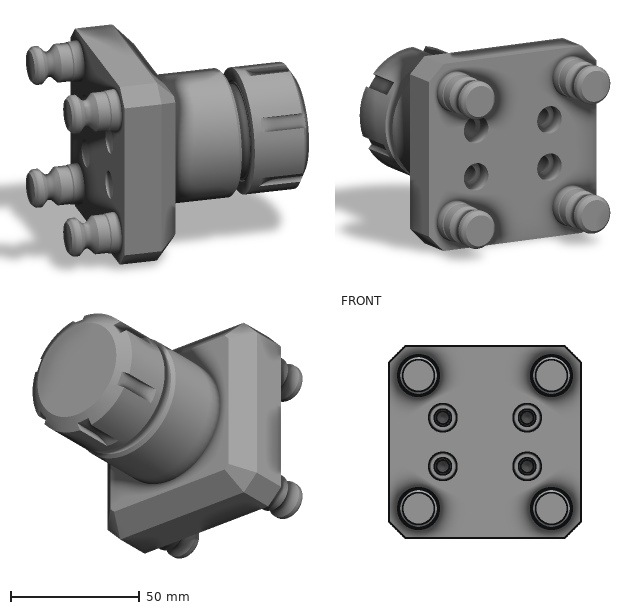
import cadquery as cq
import math


plate_side = 75.0
plate_thickness = 23.0
plate_corner_cut = 6.5
plate_front_chamfer = 7.9

screw_circle_radius = 19.0
screw_angles = [30, 150, 210, 330]
counterbore_diameter = 11.0
counterbore_depth = 6.4
clearance_diameter = 6.7
tapped_diameter = 5.0
tapped_depth = 12.0
drill_point_angle = 118.0

housing_radius = 25.4
housing_length = 28.7
housing_chamfer = 1.3
neck_radius = 18.5
neck_length = 5.0
thread_radius = 19.4
thread_length = 15.0

nut_radius = 25.0
nut_bore_radius = 20.0
nut_length = 23.6
nut_bevel_length = 3.3
nut_front_radius = 19.8

slot_count = 6
slot_start_angle = 26.0
slot_width = 5.7
slot_floor_radius = 22.3
slot_cutter_radius = 13.5
slot_front_setback = 1.7
slot_floor_length = 10.4

pin_spacing = 51.8
pin_length = 19.7
pin_root_radius = 8.1
pin_seat_radius = 8.0
pin_root_length = 0.6
pin_seat_length = 2.0
pin_taper_radius = 7.8
pin_taper_end = 4.0
pin_relief_radius = 7.4
pin_relief_middle = 4.3
pin_radius = 7.6
pin_body_start = 4.6
pin_body_end = 9.2
groove_side_depth = 2.0
groove_bottom_radius = 2.0
pin_head_length = 1.6
pin_end_radius = 6.2
pin_end_round = 1.6
pin_end_slope = 55.0

holder_start = plate_thickness
neck_start = holder_start + housing_length
nut_start = neck_start + neck_length
nut_end = nut_start + nut_length


def rod(radius, start, length, x=0, z=0):
    """Cylinder along +Y from the given start."""
    return cq.Workplane(cq.Solid.makeCylinder(radius, length, cq.Vector(x, start, z), cq.Vector(0, 1, 0)))


def screw_positions():
    for angle in screw_angles:
        turn = math.radians(angle)
        yield screw_circle_radius * math.cos(turn), screw_circle_radius * math.sin(turn)


def make_plate():
    plate = cq.Workplane("XZ").rect(plate_side, plate_side).extrude(-plate_thickness)
    plate = plate.edges("|Y").chamfer(plate_corner_cut)
    plate = plate.faces(">Y").chamfer(plate_front_chamfer)
    for x, z in screw_positions():
        plate = plate.cut(rod(counterbore_diameter / 2, 0, counterbore_depth, x, z))
        plate = plate.cut(rod(clearance_diameter / 2, 0, plate_thickness, x, z))
    return plate


def tapped_hole(x, z):
    """Blind drilled hole with a conical bottom."""
    radius = tapped_diameter / 2
    point_length = radius / math.tan(math.radians(drill_point_angle / 2))
    cone = cq.Solid.makeCone(
        radius, 0, point_length, cq.Vector(x, holder_start + tapped_depth, z), cq.Vector(0, 1, 0)
    )
    return rod(radius, holder_start, tapped_depth, x, z).union(cq.Workplane(cone))


def make_holder():
    holder = rod(housing_radius, holder_start, housing_length).faces(">Y").chamfer(housing_chamfer)
    holder = holder.union(rod(neck_radius, neck_start, neck_length))
    holder = holder.union(rod(thread_radius, nut_start, thread_length))
    for x, z in screw_positions():
        holder = holder.cut(tapped_hole(x, z))
    return holder


def spanner_slot():
    """Slot on the +X side: flat floor that runs out towards the back in an arc."""
    slot_front = nut_end - slot_front_setback
    arc_start = slot_front - slot_floor_length
    outer = slot_floor_radius + slot_cutter_radius
    return (
        cq.Workplane("XY")
        .moveTo(slot_floor_radius, slot_front)
        .lineTo(slot_floor_radius, arc_start)
        .radiusArc((outer, arc_start - slot_cutter_radius), -slot_cutter_radius)
        .lineTo(outer, slot_front)
        .close()
        .extrude(slot_width / 2, both=True)
    )


def make_nut():
    nut = rod(nut_radius, nut_start, nut_length)
    nut = nut.faces(">Y").chamfer(nut_bevel_length, nut_radius - nut_front_radius)
    nut = nut.cut(rod(nut_bore_radius, nut_start, thread_length))
    slot = spanner_slot()
    for index in range(slot_count):
        angle = slot_start_angle + index * 360 / slot_count
        nut = nut.cut(slot.rotate((0, 0, 0), (0, 1, 0), -angle))
    return nut


def make_pin(x, z):
    """Pin turned about its axis, with a rounded V groove behind the head."""
    groove_neck = pin_radius - groove_side_depth
    flank_end = pin_body_end + groove_side_depth
    groove_width = groove_bottom_radius * math.sqrt(2)
    bottom_depth = groove_bottom_radius * (1 - math.sqrt(0.5))
    head_start = flank_end + groove_width + groove_side_depth
    head_end = head_start + pin_head_length
    slope = math.radians(pin_end_slope)
    round_radius = pin_radius - pin_end_round * (1 - math.cos(slope))
    round_end = head_end + pin_end_round * math.sin(slope)
    mid_radius = pin_radius - pin_end_round * (1 - math.cos(slope / 2))
    mid_end = head_end + pin_end_round * math.sin(slope / 2)
    profile = (
        cq.Workplane("XY")
        .lineTo(pin_root_radius, 0)
        .lineTo(pin_root_radius, -pin_root_length)
        .lineTo(pin_seat_radius, -pin_seat_length)
        .lineTo(pin_taper_radius, -pin_taper_end)
        .lineTo(pin_relief_radius, -pin_relief_middle)
        .lineTo(pin_radius, -pin_body_start)
        .lineTo(pin_radius, -pin_body_end)
        .lineTo(groove_neck, -flank_end)
        .threePointArc(
            (groove_neck - bottom_depth, -flank_end - groove_width / 2),
            (groove_neck, -flank_end - groove_width),
        )
        .lineTo(pin_radius, -head_start)
        .lineTo(pin_radius, -head_end)
        .threePointArc((mid_radius, -mid_end), (round_radius, -round_end))
        .lineTo(pin_end_radius, -pin_length)
        .lineTo(0, -pin_length)
        .close()
    )
    return profile.revolve(360, (0, 0, 0), (0, 1, 0)).translate((x, 0, z))


plate = make_plate()
holder = make_holder()
nut = make_nut()
pins = []
for x_side in (-1, 1):
    for z_side in (-1, 1):
        pins.append(make_pin(x_side * pin_spacing / 2, z_side * pin_spacing / 2))

result = cq.Compound.makeCompound([plate.val(), holder.val(), nut.val(), *[pin.val() for pin in pins]])